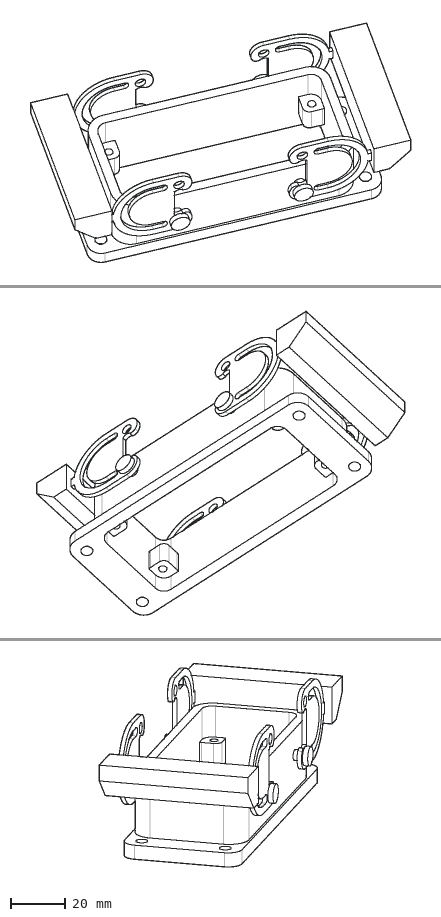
import cadquery as cq
import math


BASE_WIDTH = 45.0
BASE_LENGTH = 113.2
BASE_HEIGHT = 5.5
BASE_CORNER_RADIUS = 5.3
MOUNT_HOLE_DIAMETER = 4.4
MOUNT_HOLE_X = 16.0
MOUNT_HOLE_Y = 51.0

WALL_WIDTH = 43.3
WALL_LENGTH = 93.2
WALL_THICKNESS = 3.6
WALL_TOP = 29.3
WALL_CORNER_RADIUS = 7.6
OPENING_WIDTH = WALL_WIDTH - 2 * WALL_THICKNESS
OPENING_LENGTH = WALL_LENGTH - 2 * WALL_THICKNESS
OPENING_CORNER_RADIUS = WALL_CORNER_RADIUS - WALL_THICKNESS

BOSS_SIZE_X = 8.0
BOSS_SIZE_Y = 7.7
BOSS_BOTTOM = 7.6
BOSS_TOP = 17.3
BOSS_CORNER_RADIUS = 2.6
BOSS_HOLE_DIAMETER = 3.0
BOSS_HOLE_X = 13.5
BOSS_HOLE_Y = 39.1

PLATE_INNER_X = 24.0
PLATE_THICKNESS = 1.7
PLATE_OUTER_X = PLATE_INNER_X + PLATE_THICKNESS
PLATE_TOP = 45.3
PLATE_RADIUS = 15.5
PLATE_MID_Z = PLATE_TOP - PLATE_RADIUS
PLATE_ARC_Y = 33.7
PLATE_STRAIGHT_Y = 25.55
HOOK_RADIUS = 5.0
HOOK_Y = 23.75
HOOK_Z = PLATE_TOP - HOOK_RADIUS
HOOK_HOLE_DIAMETER = 4.0
HOOK_TIP_ANGLE = math.radians(-36)
THROAT_START_DROP = 3.75
THROAT_TOP = (0.1, -2.8)
THROAT_END = (-1.4, -3.4)
TIP_LOW_POINT = (-2.7, -3.6)
SLOT_OUTER_RADIUS = 12.5
SLOT_WIDTH = 3.2
SLOT_INNER_RADIUS = SLOT_OUTER_RADIUS - SLOT_WIDTH
SLOT_END_Y = 28.3

PIN_DIAMETER = HOOK_HOLE_DIAMETER
PIN_HEAD_DIAMETER = 7.3
PIN_HEAD_HEIGHT = 2.0
PIN_Z = 2 * PLATE_MID_Z - HOOK_Z

HANDLE_WIDTH = 57.0
HANDLE_OUTER_Y = 64.75
HANDLE_DEPTH = 14.3
HANDLE_INNER_Y = HANDLE_OUTER_Y - HANDLE_DEPTH
HANDLE_TOP = 38.0
HANDLE_BOTTOM = HANDLE_TOP - HANDLE_DEPTH
HANDLE_BEVEL = 8.2
NECK_HEIGHT = 4.4


def four_corners(x, y):
    return [(sx * x, sy * y) for sx in (1, -1) for sy in (1, -1)]


def rounded_block(width, length, radius, height):
    return cq.Workplane("XY").rect(width, length).extrude(height).edges("|Z").fillet(radius)


def make_frame():
    base = rounded_block(BASE_WIDTH, BASE_LENGTH, BASE_CORNER_RADIUS, BASE_HEIGHT)
    mount_holes = (
        cq.Workplane("XY")
        .pushPoints(four_corners(MOUNT_HOLE_X, MOUNT_HOLE_Y))
        .circle(MOUNT_HOLE_DIAMETER / 2)
        .extrude(BASE_HEIGHT)
    )
    wall = rounded_block(WALL_WIDTH, WALL_LENGTH, WALL_CORNER_RADIUS, WALL_TOP)
    opening = rounded_block(OPENING_WIDTH, OPENING_LENGTH, OPENING_CORNER_RADIUS, WALL_TOP)
    return base.cut(mount_holes).union(wall).cut(opening)


def make_bosses():
    embed = WALL_THICKNESS / 2
    size_x = BOSS_SIZE_X + embed
    size_y = BOSS_SIZE_Y + embed
    centre_x = OPENING_WIDTH / 2 + embed - size_x / 2
    centre_y = OPENING_LENGTH / 2 + embed - size_y / 2
    blocks = (
        cq.Workplane("XY", origin=(0, 0, BOSS_BOTTOM))
        .pushPoints(four_corners(centre_x, centre_y))
        .rect(size_x, size_y)
        .extrude(BOSS_TOP - BOSS_BOTTOM)
        .edges("|Z")
        .fillet(BOSS_CORNER_RADIUS)
    )
    holes = (
        cq.Workplane("XY", origin=(0, 0, BOSS_BOTTOM))
        .pushPoints(four_corners(BOSS_HOLE_X, BOSS_HOLE_Y))
        .circle(BOSS_HOLE_DIAMETER / 2)
        .extrude(BOSS_TOP - BOSS_BOTTOM)
    )
    return blocks.cut(holes)


def hook_point(offset):
    return (HOOK_Y + offset[0], HOOK_Z + offset[1])


def arc_point(radius):
    """Point halfway along the quarter arc from the crown to the mid height of the plate."""
    step = radius * math.sqrt(0.5)
    return (PLATE_ARC_Y + step, PLATE_MID_Z + step)


def plate_sketch():
    return cq.Workplane("YZ", origin=(PLATE_INNER_X, 0, 0))


def make_half_plate():
    """Upper half of a side plate with its hook, hook hole and half of the C-shaped slot."""
    tip_end = hook_point((-HOOK_RADIUS * math.cos(HOOK_TIP_ANGLE), HOOK_RADIUS * math.sin(HOOK_TIP_ANGLE)))
    plate = (
        plate_sketch()
        .moveTo(PLATE_STRAIGHT_Y, PLATE_MID_Z)
        .lineTo(PLATE_STRAIGHT_Y, HOOK_Z - THROAT_START_DROP)
        .threePointArc(hook_point(THROAT_TOP), hook_point(THROAT_END))
        .threePointArc(hook_point(TIP_LOW_POINT), tip_end)
        .threePointArc((HOOK_Y - HOOK_RADIUS, HOOK_Z), (HOOK_Y, PLATE_TOP))
        .lineTo(PLATE_ARC_Y, PLATE_TOP)
        .threePointArc(arc_point(PLATE_RADIUS), (PLATE_ARC_Y + PLATE_RADIUS, PLATE_MID_Z))
        .close()
        .extrude(PLATE_THICKNESS)
    )
    hole = (
        plate_sketch()
        .center(HOOK_Y, HOOK_Z)
        .circle(HOOK_HOLE_DIAMETER / 2)
        .extrude(PLATE_THICKNESS)
    )
    slot_end_straight_y = SLOT_END_Y + SLOT_WIDTH / 2
    slot_end_z = PLATE_MID_Z + SLOT_OUTER_RADIUS - SLOT_WIDTH / 2
    slot = (
        plate_sketch()
        .moveTo(PLATE_ARC_Y + SLOT_INNER_RADIUS, PLATE_MID_Z)
        .threePointArc(arc_point(SLOT_INNER_RADIUS), (PLATE_ARC_Y, PLATE_MID_Z + SLOT_INNER_RADIUS))
        .lineTo(slot_end_straight_y, PLATE_MID_Z + SLOT_INNER_RADIUS)
        .threePointArc((SLOT_END_Y, slot_end_z), (slot_end_straight_y, PLATE_MID_Z + SLOT_OUTER_RADIUS))
        .lineTo(PLATE_ARC_Y, PLATE_MID_Z + SLOT_OUTER_RADIUS)
        .threePointArc(arc_point(SLOT_OUTER_RADIUS), (PLATE_ARC_Y + SLOT_OUTER_RADIUS, PLATE_MID_Z))
        .close()
        .extrude(PLATE_THICKNESS)
    )
    return plate.cut(hole).cut(slot)


def make_side_plate():
    upper = make_half_plate()
    lower = upper.mirror("XY", (0, 0, PLATE_MID_Z))
    neck_start_y = PLATE_ARC_Y + (SLOT_OUTER_RADIUS + PLATE_RADIUS) / 2
    neck = (
        plate_sketch()
        .center((neck_start_y + HANDLE_INNER_Y) / 2, PLATE_MID_Z)
        .rect(HANDLE_INNER_Y - neck_start_y, NECK_HEIGHT)
        .extrude(PLATE_THICKNESS)
    )
    return upper.union(lower).union(neck)


def make_pin():
    shank_start_x = WALL_WIDTH / 2 - WALL_THICKNESS / 2
    shank = (
        cq.Workplane("YZ", origin=(shank_start_x, HOOK_Y, PIN_Z))
        .circle(PIN_DIAMETER / 2)
        .extrude(PLATE_OUTER_X - shank_start_x)
    )
    head = (
        cq.Workplane("YZ", origin=(PLATE_OUTER_X, HOOK_Y, PIN_Z))
        .circle(PIN_HEAD_DIAMETER / 2)
        .extrude(PIN_HEAD_HEIGHT)
    )
    return shank.union(head)


def make_handle():
    return (
        cq.Workplane("YZ", origin=(-HANDLE_WIDTH / 2, 0, 0))
        .moveTo(HANDLE_INNER_Y, HANDLE_BOTTOM)
        .lineTo(HANDLE_OUTER_Y - HANDLE_BEVEL, HANDLE_BOTTOM)
        .lineTo(HANDLE_OUTER_Y, HANDLE_BOTTOM + HANDLE_BEVEL)
        .lineTo(HANDLE_OUTER_Y, HANDLE_TOP)
        .lineTo(HANDLE_INNER_Y, HANDLE_TOP)
        .close()
        .extrude(HANDLE_WIDTH)
    )


def make_lever():
    """Lever at the +Y end, with its two side plates and pivot pins."""
    side = make_side_plate().union(make_pin())
    return make_handle().union(side).union(side.mirror("YZ"))


lever = make_lever()
result = make_frame().union(make_bosses()).union(lever).union(lever.mirror("XZ"))